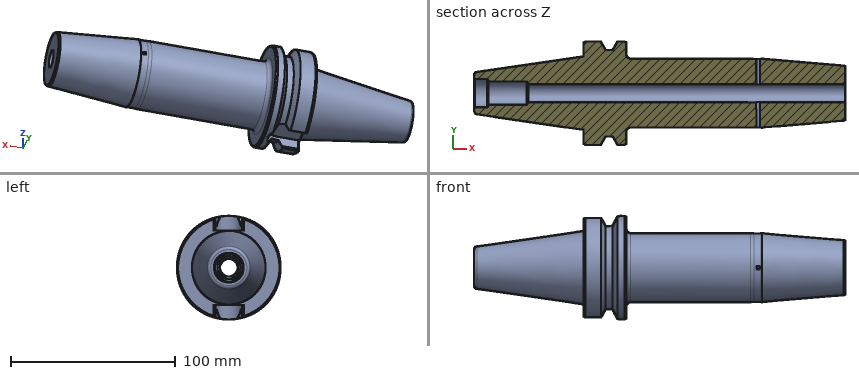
import cadquery as cq
import math


gauge_diameter = 44.45
taper_length = 65.4
taper_slope = 7 / 24 / 2
tail_fillet = 2.0

flange_start = 1.0
flange_end = 27.0
flange_radius = 31.5
flange_chamfer = 1.2
flange_chamfer_depth = 0.7
groove_center = 16.6
groove_floor_width = 4.2
groove_floor_radius = 26.5
groove_side_angle = 30.0

slot_width = 16.1
slot_floor_height = 22.6
slot_end = 23.4
slot_chamfer = 1.1

total_length = 225.4
body_radius = 21.0
neck_fillet = 2.7
relief_start = 102.4
relief_slope_length = 2.2
relief_depth = 0.15
relief_end_slope_length = 0.6
nose_length = 50.8
nose_tip_radius = 16.8
nose_chamfer = 1.2
nose_chamfer_depth = 0.5

cross_hole_diameter = 2.0
cross_hole_to_nose = 2.2

bore_diameter = 10.7
thread_core_diameter = 14.0
thread_end_depth = 32.0
pilot_diameter = 17.0
pilot_depth = 8.0
mouth_diameter = 18.0
drill_point_angle = 118.0

tail_x = -taper_length
tip_x = total_length - taper_length
nose_x = tip_x - nose_length


def taper_radius(x):
    return gauge_diameter / 2 + x * taper_slope


def revolve_profile(sketch):
    return sketch.close().revolve(360, (0, 0, 0), (1, 0, 0))


def make_outer_body():
    groove_floor_half = groove_floor_width / 2
    groove_depth = flange_radius - groove_floor_radius
    groove_top_half = groove_floor_half + groove_depth * math.tan(math.radians(groove_side_angle))
    flange_edge_radius = flange_radius - flange_chamfer_depth
    neck_radius = body_radius + neck_fillet
    relief_radius = body_radius - relief_depth
    fillet_middle = neck_fillet * (1 - math.sqrt(0.5))

    cone_angle = math.atan(taper_slope)
    fillet_center_x = tail_x + tail_fillet
    fillet_center_r = taper_radius(fillet_center_x) - tail_fillet / math.cos(cone_angle)
    arc_end_angle = math.pi / 2 + cone_angle
    arc_middle_angle = (math.pi + arc_end_angle) / 2

    def fillet_point(angle):
        x = fillet_center_x + tail_fillet * math.cos(angle)
        r = fillet_center_r + tail_fillet * math.sin(angle)
        return (x, r)

    profile = (
        cq.Workplane("XY")
        .moveTo(tail_x, 0)
        .lineTo(tail_x, fillet_center_r)
        .threePointArc(fillet_point(arc_middle_angle), fillet_point(arc_end_angle))
        .lineTo(flange_start, taper_radius(flange_start))
        .lineTo(flange_start, flange_edge_radius)
        .lineTo(flange_start + flange_chamfer, flange_radius)
        .lineTo(groove_center - groove_top_half, flange_radius)
        .lineTo(groove_center - groove_floor_half, groove_floor_radius)
        .lineTo(groove_center + groove_floor_half, groove_floor_radius)
        .lineTo(groove_center + groove_top_half, flange_radius)
        .lineTo(flange_end - flange_chamfer, flange_radius)
        .lineTo(flange_end, flange_edge_radius)
        .lineTo(flange_end, neck_radius)
        .threePointArc(
            (flange_end + fillet_middle, body_radius + fillet_middle),
            (flange_end + neck_fillet, body_radius),
        )
        .lineTo(relief_start, body_radius)
        .lineTo(relief_start + relief_slope_length, relief_radius)
        .lineTo(nose_x - relief_end_slope_length, relief_radius)
        .lineTo(nose_x, body_radius)
        .lineTo(tip_x - nose_chamfer, nose_tip_radius)
        .lineTo(tip_x, nose_tip_radius - nose_chamfer_depth)
        .lineTo(tip_x, 0)
    )
    return revolve_profile(profile)


def make_axial_bore():
    bore_radius = bore_diameter / 2
    thread_radius = thread_core_diameter / 2
    pilot_radius = pilot_diameter / 2
    mouth_radius = mouth_diameter / 2
    mouth_chamfer = mouth_radius - pilot_radius
    point_slope = math.tan(math.radians(drill_point_angle / 2))
    pilot_end = tail_x + pilot_depth
    thread_end = tail_x + thread_end_depth

    profile = (
        cq.Workplane("XY")
        .moveTo(tail_x, 0)
        .lineTo(tail_x, mouth_radius)
        .lineTo(tail_x + mouth_chamfer, pilot_radius)
        .lineTo(pilot_end, pilot_radius)
        .lineTo(pilot_end + (pilot_radius - thread_radius) / point_slope, thread_radius)
        .lineTo(thread_end, thread_radius)
        .lineTo(thread_end + (thread_radius - bore_radius) / point_slope, bore_radius)
        .lineTo(tip_x, bore_radius)
        .lineTo(tip_x, 0)
    )
    return revolve_profile(profile)


def make_drive_slot():
    """Cutter for the round-ended slot at +Z and the chamfers on its front and top edges."""
    half_width = slot_width / 2
    arc_center = slot_end - half_width
    height = flange_radius - slot_floor_height
    edge_height = math.sqrt(flange_radius**2 - half_width**2)

    slot = (
        cq.Workplane("XY", origin=(0, 0, slot_floor_height))
        .moveTo(flange_start, -half_width)
        .lineTo(arc_center, -half_width)
        .threePointArc((slot_end, 0), (arc_center, half_width))
        .lineTo(flange_start, half_width)
        .close()
        .extrude(height)
    )
    front_chamfer = (
        cq.Workplane("XY", origin=(0, 0, slot_floor_height))
        .moveTo(flange_start, -half_width - slot_chamfer)
        .lineTo(flange_start + slot_chamfer, -half_width)
        .lineTo(flange_start + slot_chamfer, half_width)
        .lineTo(flange_start, half_width + slot_chamfer)
        .close()
        .extrude(height)
    )
    chamfer_bottom = edge_height - slot_chamfer
    flare = flange_radius - chamfer_bottom
    top_chamfer = (
        cq.Workplane("YZ", origin=(flange_start, 0, 0))
        .moveTo(-half_width, chamfer_bottom)
        .lineTo(half_width, chamfer_bottom)
        .lineTo(half_width + flare, flange_radius)
        .lineTo(-half_width - flare, flange_radius)
        .close()
        .extrude(groove_center - flange_start)
    )
    return slot.union(front_chamfer).union(top_chamfer)


def make_cross_hole():
    return (
        cq.Workplane("XZ", origin=(nose_x - cross_hole_to_nose, 0, 0))
        .circle(cross_hole_diameter / 2)
        .extrude(body_radius, both=True)
    )


result = make_outer_body().cut(make_axial_bore()).cut(make_cross_hole())
slot_cutter = make_drive_slot()
for turn in (0, 180):
    result = result.cut(slot_cutter.rotate((0, 0, 0), (1, 0, 0), turn))